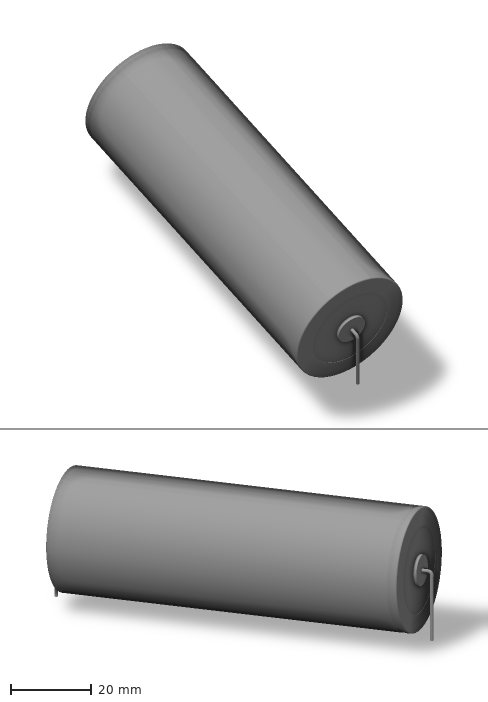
import cadquery as cq
import math

CAN_DIAMETER = 32.0
CAN_LENGTH = 93.4
CAN_RADIUS = CAN_DIAMETER / 2
CAN_HALF_LENGTH = CAN_LENGTH / 2
RIM_FILLET = 0.3

GROOVE_OFFSET = 1.95
GROOVE_MOUTH_WIDTH = 1.3
GROOVE_FLOOR_WIDTH = 0.5
GROOVE_DEPTH = 0.1

DISC_RADIUS = 11.2
DISC_RECESS = 0.1

SEAL_DIAMETER = 8.0
SEAL_SPAN = 94.9

LEAD_DIAMETER = 0.9
LEAD_PITCH = 100.0
LEAD_BEND_RADIUS = 0.9
LEAD_DROP = 18.02

STRIPE_ANGLE = 46.0
MARK_LENGTH = 12.8
MARK_WIDTH = 3.4
MARK_PITCH = 25.7
MARK_COUNT = 3


def x_cylinder(radius, x_start, x_end):
    """Cylinder on the X axis between two X positions."""
    return cq.Workplane("YZ", origin=(x_start, 0, 0)).circle(radius).extrude(x_end - x_start)


def make_can():
    """Can with rounded rims, the crimped groove and the two sunken end discs."""
    can = x_cylinder(CAN_RADIUS, -CAN_HALF_LENGTH, CAN_HALF_LENGTH)
    can = can.faces("<X or >X").edges().fillet(RIM_FILLET)

    groove_x = -CAN_HALF_LENGTH + GROOVE_OFFSET
    groove_floor_radius = CAN_RADIUS - GROOVE_DEPTH
    clear_radius = CAN_RADIUS + GROOVE_DEPTH
    groove = (
        cq.Workplane("XY")
        .moveTo(groove_x - GROOVE_MOUTH_WIDTH / 2, clear_radius)
        .lineTo(groove_x - GROOVE_MOUTH_WIDTH / 2, CAN_RADIUS)
        .lineTo(groove_x - GROOVE_FLOOR_WIDTH / 2, groove_floor_radius)
        .lineTo(groove_x + GROOVE_FLOOR_WIDTH / 2, groove_floor_radius)
        .lineTo(groove_x + GROOVE_MOUTH_WIDTH / 2, CAN_RADIUS)
        .lineTo(groove_x + GROOVE_MOUTH_WIDTH / 2, clear_radius)
        .close()
        .revolve(360, (0, 0, 0), (1, 0, 0))
    )
    can = can.cut(groove)

    disc_x = CAN_HALF_LENGTH - DISC_RECESS
    can = can.cut(x_cylinder(DISC_RADIUS, -CAN_HALF_LENGTH, -disc_x))
    return can.cut(x_cylinder(DISC_RADIUS, disc_x, CAN_HALF_LENGTH))


def make_lead(side):
    """Wire from the seal outwards along X, bent down to its free end."""
    x_start = side * CAN_HALF_LENGTH / 2
    x_drop = side * LEAD_PITCH / 2
    bend_middle = LEAD_BEND_RADIUS * (1 - math.sqrt(0.5))
    path = (
        cq.Workplane("XZ")
        .moveTo(x_start, 0)
        .lineTo(x_drop - side * LEAD_BEND_RADIUS, 0)
        .threePointArc((x_drop - side * bend_middle, -bend_middle), (x_drop, -LEAD_BEND_RADIUS))
        .lineTo(x_drop, -LEAD_DROP)
    )
    return cq.Workplane("YZ", origin=(x_start, 0, 0)).circle(LEAD_DIAMETER / 2).sweep(path)


def make_stripe_wedge():
    """Wedge around the top of the can, reaching from the disc radius past the can surface."""
    reach = 2 * CAN_RADIUS
    half_width = reach * math.tan(math.radians(STRIPE_ANGLE / 2))
    wedge = (
        cq.Workplane("YZ", origin=(-CAN_HALF_LENGTH, 0, 0))
        .polyline([(0, 0), (half_width, reach), (-half_width, reach)])
        .close()
        .extrude(CAN_LENGTH)
    )
    return wedge.cut(x_cylinder(DISC_RADIUS, -CAN_HALF_LENGTH, CAN_HALF_LENGTH))


def make_mark_tools():
    """Upright slot-shaped prisms, evenly spaced along the stripe."""
    return (
        cq.Workplane("XY", origin=(0, 0, DISC_RADIUS))
        .rarray(MARK_PITCH, 1, MARK_COUNT, 1)
        .slot2D(MARK_LENGTH, MARK_WIDTH)
        .extrude(CAN_RADIUS)
    )


can = make_can()
stripe = can.intersect(make_stripe_wedge())
marks = stripe.intersect(make_mark_tools())
seals = x_cylinder(SEAL_DIAMETER / 2, -SEAL_SPAN / 2, SEAL_SPAN / 2)

result = can.cut(stripe)
inlays = [stripe.cut(marks), marks]
leads = [make_lead(side) for side in (-1, 1)]
for piece in inlays + [seals] + leads:
    result = result.union(piece, clean=False)